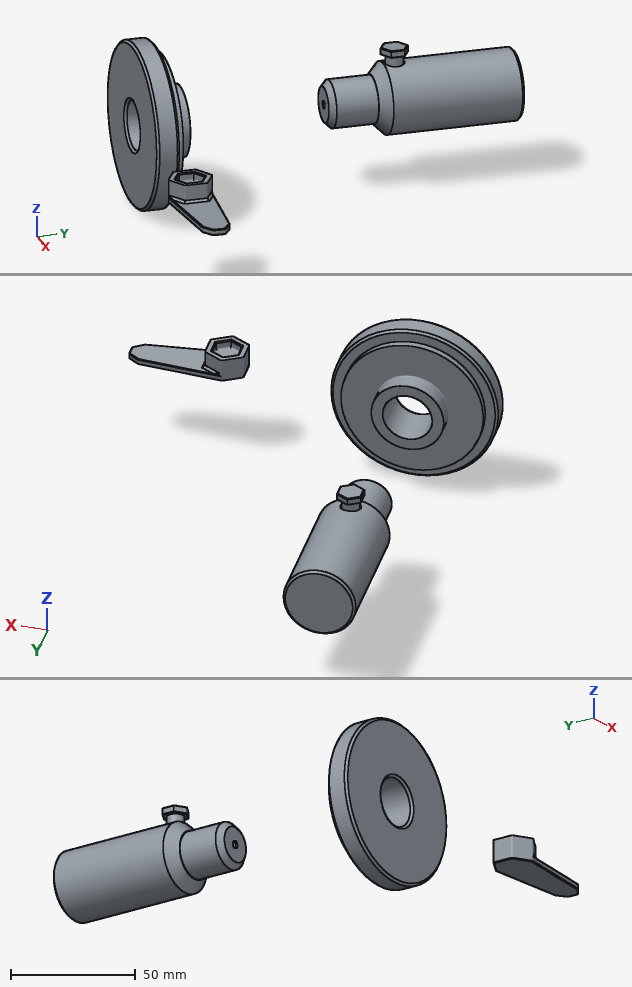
import cadquery as cq
import math


disc_diameter = 69.2
disc_thickness = 9.5
step_diameter = 59.0
step_thickness = 3.0
sleeve_diameter = 30.0
hub_diameter = sleeve_diameter
hub_length = 7.5
disc_bore_diameter = 20.5
edge_chamfer = 1.0
hub_root_fillet = 0.5

shaft_diameter = 20.0
sleeve_back_y = 160.2
sleeve_straight_length = 55.0
sleeve_nose_diameter = 20.5
sleeve_cone_length = (sleeve_diameter - sleeve_nose_diameter) / 2
sleeve_front_y = sleeve_back_y - sleeve_straight_length - sleeve_cone_length
shaft_front_y = sleeve_back_y - 79.9
shaft_chamfer = 2.5
center_hole_diameter = 2.2
center_hole_depth = 2.0
center_hole_chamfer = 0.5

screw_y = sleeve_back_y - 50.3
screw_shank_diameter = 7.3
screw_hole_diameter = 8.3
screw_head_width = 10.0
screw_head_height = 3.0
screw_head_top_z = 21.7
screw_head_chamfer = 0.3
screw_tip_z = shaft_diameter / 2
shaft_back_y = screw_y + screw_shank_diameter

wrench_x = 79.9
wrench_bottom_z = -2.7
wrench_width = 16.0
wrench_height = 10.0
socket_width = 10.7
socket_depth = 3.4
socket_chamfer = 0.5
socket_floor_fillet = 0.5
handle_tip_x = 154.5 - disc_diameter / 2
handle_tip_length = 4.5
handle_tip_half_width = 2.5
handle_end_half_width = 5.8
handle_corner_fillet = 1.4
handle_thickness = 2.5
wrench_edge_chamfer = 0.3
wrench_corner_fillet = 1.0
root_chamfer = 1.0
BEVEL_ANGLE = 45


def y_cylinder(diameter, y_start, length):
    """Cylinder on the common axis, running from y_start toward +Y."""
    return cq.Workplane("XZ", origin=(0, y_start, 0)).circle(diameter / 2).extrude(-length)


def hexagon_corners(width):
    """Corners of a hexagon given across its flats, two flats facing along X."""
    radius = width / math.sqrt(3)
    angles = [math.radians(30 + 60 * i) for i in range(6)]
    return [(radius * math.cos(a), radius * math.sin(a)) for a in angles]


def hexagon_prism(width, height):
    return cq.Workplane("XY").polyline(hexagon_corners(width)).close().extrude(height)


def make_disc():
    disc = y_cylinder(disc_diameter, 0, disc_thickness).edges().chamfer(edge_chamfer)
    step = y_cylinder(step_diameter, disc_thickness, step_thickness)
    hub = y_cylinder(hub_diameter, disc_thickness + step_thickness, hub_length)
    total_length = disc_thickness + step_thickness + hub_length
    body = disc.union(step).union(hub)
    step_back = body.faces("|Y").faces(">Y[-2]")
    body = step_back.edges(cq.selectors.RadiusNthSelector(0)).fillet(hub_root_fillet)
    body = body.cut(y_cylinder(disc_bore_diameter, 0, total_length))
    bore_rim = cq.selectors.RadiusNthSelector(0)
    return body.faces("<Y").edges(bore_rim).chamfer(edge_chamfer)


def make_shaft():
    shaft = y_cylinder(shaft_diameter, shaft_front_y, shaft_back_y - shaft_front_y)
    shaft = shaft.faces("<Y").chamfer(shaft_chamfer)
    shaft = shaft.cut(y_cylinder(center_hole_diameter, shaft_front_y, center_hole_depth))
    return shaft.faces("<Y").edges(cq.selectors.RadiusNthSelector(0)).chamfer(center_hole_chamfer)


def make_screw():
    head_bottom_z = screw_head_top_z - screw_head_height
    head = hexagon_prism(screw_head_width, screw_head_height)
    head = head.faces("<Z or >Z").edges().chamfer(screw_head_chamfer)
    head = head.translate((0, screw_y, head_bottom_z))
    shank = cq.Workplane("XY", origin=(0, screw_y, screw_tip_z))
    shank = shank.circle(screw_shank_diameter / 2).extrude(head_bottom_z - screw_tip_z)
    return head.union(shank)


def make_sleeve(shaft):
    sleeve = y_cylinder(sleeve_diameter, sleeve_front_y, sleeve_back_y - sleeve_front_y)
    sleeve = sleeve.faces("<Y").chamfer(sleeve_cone_length - 0.002)
    sleeve = sleeve.faces(">Y").chamfer(edge_chamfer)
    screw_hole = cq.Workplane("XY", origin=(0, screw_y, 0)).circle(screw_hole_diameter / 2)
    return sleeve.cut(shaft).cut(screw_hole.extrude(sleeve_diameter))


def make_handle():
    """Flat tapered handle that starts across the wrench head's two outer corners."""
    corner_y = wrench_width / math.sqrt(3)
    root_y = corner_y - wrench_corner_fillet * (2 / math.sqrt(3) - 1)
    end_x = handle_tip_x - wrench_x
    shoulder_x = end_x - handle_tip_length
    outline = [
        (0, -root_y),
        (shoulder_x, -handle_end_half_width),
        (end_x, -handle_tip_half_width),
        (end_x, handle_tip_half_width),
        (shoulder_x, handle_end_half_width),
        (0, root_y),
    ]
    handle = cq.Workplane("XY").polyline(outline).close().extrude(handle_thickness)
    handle = handle.edges("|Z and (not <X)").fillet(handle_corner_fillet)
    return handle.faces("<Z or >Z").edges("not(<X)").chamfer(wrench_edge_chamfer)


def make_root():
    """Sloped band around the head where it rises from the handle."""
    band = cq.Workplane("XY", origin=(0, 0, handle_thickness))
    band = band.polyline(hexagon_corners(wrench_width + 2 * root_chamfer)).close()
    band = band.extrude(root_chamfer, taper=BEVEL_ANGLE)
    handle_top = make_handle().faces(">Z").wires().toPending().extrude(root_chamfer)
    return band.intersect(handle_top)


def make_socket():
    """Hexagonal recess in the top of the head, flared at its rim."""
    socket = hexagon_prism(socket_width, socket_depth).faces("<Z").edges().fillet(socket_floor_fillet)
    socket = socket.translate((0, 0, wrench_height - socket_depth))
    flare = cq.Workplane("XY", origin=(0, 0, wrench_height))
    flare = flare.polyline(hexagon_corners(socket_width + 2 * socket_chamfer)).close()
    return socket.union(flare.extrude(-socket_chamfer, taper=BEVEL_ANGLE))


def make_wrench():
    head = hexagon_prism(wrench_width, wrench_height).edges("|Z").fillet(wrench_corner_fillet)
    head = head.faces("<Z").chamfer(wrench_edge_chamfer)
    return head.union(make_handle()).union(make_root()).cut(make_socket()).translate((wrench_x, 0, wrench_bottom_z))


disc = make_disc()
shaft = make_shaft()
screw = make_screw()
sleeve = make_sleeve(shaft)
wrench = make_wrench()

bodies = [disc, shaft, screw, sleeve, wrench]
result = cq.Compound.makeCompound([body.solids().val() for body in bodies])